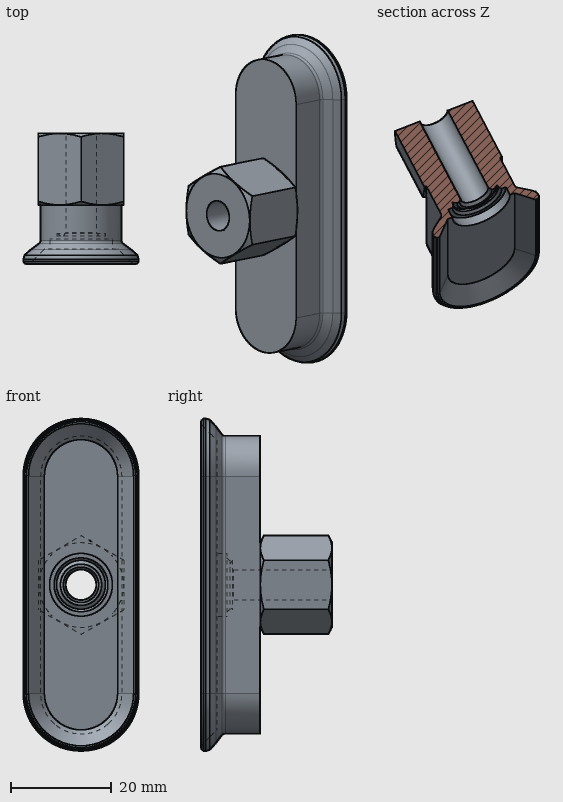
import cadquery as cq

overall_height = 66.0
rim_radius = 11.5
straight_length = overall_height - 2 * rim_radius
body_radius = 8.05
plate_depth = 11.75

lip_flat_radius = 10.8
lip_break_radius = 11.15
lip_break_depth = 0.1
rim_band_start = 0.6
rim_band_end = 1.0
flare_outer_radius = 9.9
flare_outer_depth = 3.0
shoulder_end_radius = 11.2
shoulder_end_depth = 1.8
flare_inner_radius = 8.3
flare_inner_depth = 4.15
neck_arc_radius = 8.1
neck_arc_depth = 4.4
body_start_depth = 4.8

recess_mouth_radius = 10.4
recess_floor_radius = 7.25
recess_depth = 3.1

hex_across_flats = 16.95
hex_length = 14.25
hex_chamfer_radial = 1.4
hex_chamfer_axial = 0.7
hex_end = plate_depth + hex_length

counterbore_diameter = 12.5
counterbore_depth = 2.0
groove_outer_radius = 5.35
groove_diameter = 9.7
groove_chamfer_depth = 0.6
groove_depth = 1.1
groove_inner_radius = 4.1
seat_drop = 0.6
bore_chamfer_radius = 3.5
bore_chamfer_depth = 0.7
bore_diameter = 6.0


def stadium_solid(section):
    """Sweep a radial half-section (XY plane, axis on Y) around the stadium."""
    top = section.revolve(360, (0, 0), (0, 1)).translate((0, 0, straight_length / 2))
    bottom = top.mirror("XY")
    half = section.toPending().extrude(straight_length / 2, both=True)
    return top.union(bottom).union(half).union(half.mirror("YZ"))


def plate():
    section = (
        cq.Workplane("XY")
        .moveTo(0, plate_depth)
        .lineTo(body_radius, plate_depth)
        .lineTo(body_radius, body_start_depth)
        .threePointArc((neck_arc_radius, neck_arc_depth), (flare_inner_radius, flare_inner_depth))
        .lineTo(flare_outer_radius, flare_outer_depth)
        .tangentArcPoint((shoulder_end_radius, shoulder_end_depth), relative=False)
        .lineTo(rim_radius, rim_band_end)
        .lineTo(rim_radius, rim_band_start)
        .lineTo(lip_break_radius, lip_break_depth)
        .lineTo(lip_flat_radius, 0)
        .lineTo(0, 0)
        .close()
    )
    return stadium_solid(section)


def recess():
    section = cq.Workplane("XY").polyline([
        (0, 0),
        (recess_mouth_radius, 0),
        (recess_floor_radius, recess_depth),
        (0, recess_depth),
    ]).close()
    return stadium_solid(section)


def hex_nut():
    """Hexagon with flats facing +X and -X, both ends chamfered by a cone."""
    corner_radius = hex_across_flats / 3 ** 0.5
    end_radius = corner_radius - hex_chamfer_radial
    prism = (
        cq.Workplane("XZ", origin=(0, plate_depth, 0))
        .transformed(rotate=(0, 0, 90))
        .polygon(6, 2 * corner_radius)
        .extrude(-hex_length)
    )
    envelope = cq.Workplane("XY").polyline([
        (0, plate_depth),
        (end_radius, plate_depth),
        (corner_radius, plate_depth + hex_chamfer_axial),
        (corner_radius, hex_end - hex_chamfer_axial),
        (end_radius, hex_end),
        (0, hex_end),
    ]).close().revolve(360, (0, 0), (0, 1))
    return prism.intersect(envelope)


def stepped_bore():
    """Counterbore, ring groove, raised seat, chamfer and through bore as one revolved cutter."""
    shelf = recess_depth + counterbore_depth
    seat = shelf + seat_drop
    bore_radius = bore_diameter / 2
    return cq.Workplane("XY").polyline([
        (0, 0),
        (counterbore_diameter / 2, 0),
        (counterbore_diameter / 2, shelf),
        (groove_outer_radius, shelf),
        (groove_diameter / 2, shelf + groove_chamfer_depth),
        (groove_diameter / 2, shelf + groove_depth),
        (groove_inner_radius, seat),
        (bore_chamfer_radius, seat),
        (bore_radius, seat + bore_chamfer_depth),
        (bore_radius, hex_end),
        (0, hex_end),
    ]).close().revolve(360, (0, 0), (0, 1))


result = plate().union(hex_nut()).cut(recess()).cut(stepped_bore())